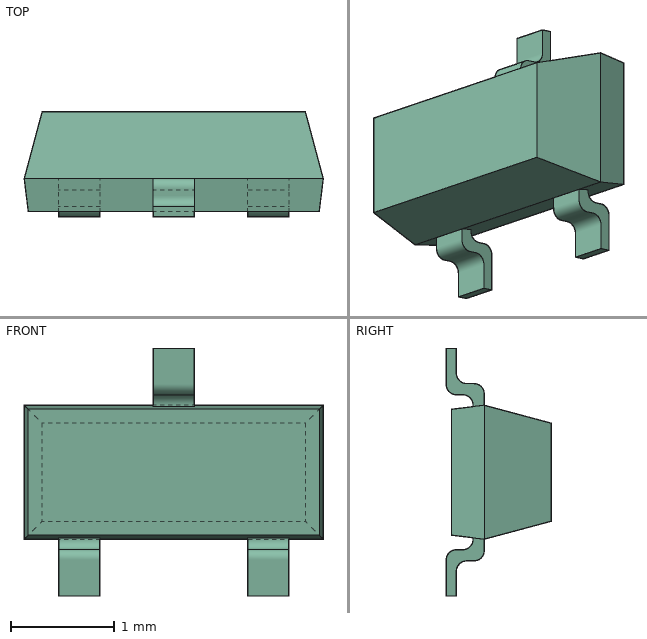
import cadquery as cq
import math


housing_length = 2.9
housing_height = 1.3
housing_front = 0.05
parting_y = 0.37
housing_back = 1.02
front_draft = 7.0
back_draft = 15.0

lead_span = 2.4
lead_width = 0.4
foot_thickness = 0.1
jog_thickness = 0.11
bend_radius = 0.1
foot_length = 0.35
lower_lead_offset = 0.915


def make_housing_half(end_y, draft):
    """Tapered half of the housing, from the parting plane to the face at end_y."""
    depth = end_y - parting_y
    inset = abs(depth) * math.tan(math.radians(draft))
    return (
        cq.Workplane("XZ", origin=(0, parting_y, 0))
        .rect(housing_length, housing_height)
        .workplane(offset=-depth)
        .rect(housing_length - 2 * inset, housing_height - 2 * inset)
        .loft(ruled=True)
    )


def make_upward_lead():
    """Gull-wing lead centred on X = 0, running up from the housing's upper edge to its foot."""
    tip_z = lead_span / 2
    jog_bottom = tip_z - foot_length - bend_radius
    jog_top = jog_bottom + jog_thickness
    root_z = housing_height / 2
    root_front = parting_y - jog_thickness
    root_front_z = root_z - jog_thickness * math.tan(math.radians(front_draft))
    bend = bend_radius
    diagonal = bend * math.sqrt(0.5)

    def bend_middle(center_y, center_z, side):
        """Midpoint of a quarter bend, on the side of its center given by the sign of side."""
        return (center_y + side * diagonal, center_z + side * diagonal)

    profile = (
        cq.Workplane("YZ", origin=(-lead_width / 2, 0, 0))
        .moveTo(parting_y, root_z)
        .lineTo(parting_y, jog_top - bend)
        .threePointArc(bend_middle(parting_y - bend, jog_top - bend, 1), (parting_y - bend, jog_top))
        .lineTo(foot_thickness + bend, jog_top)
        .threePointArc(
            bend_middle(foot_thickness + bend, jog_top + bend, -1),
            (foot_thickness, jog_top + bend),
        )
        .lineTo(foot_thickness, tip_z)
        .lineTo(0, tip_z)
        .lineTo(0, jog_bottom + bend)
        .threePointArc(bend_middle(bend, jog_bottom + bend, -1), (bend, jog_bottom))
        .lineTo(root_front - bend, jog_bottom)
        .threePointArc(
            bend_middle(root_front - bend, jog_bottom - bend, 1),
            (root_front, jog_bottom - bend),
        )
        .lineTo(root_front, root_front_z)
        .close()
    )
    return profile.extrude(lead_width)


upper_lead = make_upward_lead()
housing = (
    make_housing_half(housing_front, front_draft)
    .union(make_housing_half(housing_back, back_draft))
    .union(upper_lead)
)

lower_leads = [
    upper_lead.mirror("XY").translate((side * lower_lead_offset, 0, 0))
    for side in (-1, 1)
]

result = cq.Compound.makeCompound([housing.val(), *[lead.val() for lead in lower_leads]])